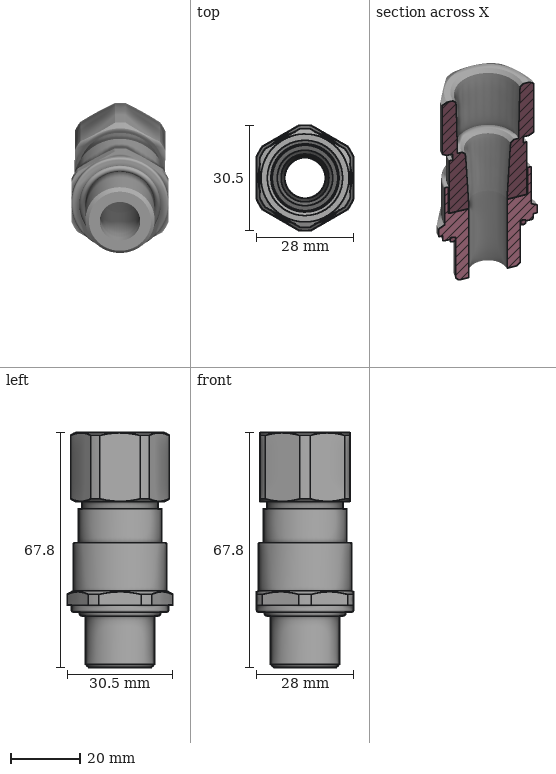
import cadquery as cq
import math

shank_bottom = 0.0
flange_bottom = 16.0
lower_hex_bottom = 18.0
barrel_bottom = 22.1
barrel_recess_floor = 26.0
barrel_top = 36.0
sleeve_top = 45.65
upper_hex_bottom = 47.7
coupling_top = 67.75

shank_radius = 9.95
shank_chamfer = 1.0
lower_hex_flats = 28.0
lower_hex_corner_radius = 15.25
flange_radius = lower_hex_flats / 2
flange_fillet = 0.6
barrel_radius = 13.5
barrel_fillet = 0.55

ring_tube_radius = 0.9
ring_center_radius = shank_radius + ring_tube_radius
ring_center_z = 15.7

sleeve_diameter = 24.05
sleeve_radius = sleeve_diameter / 2
sleeve_gap = 0.15
neck_radius = 11.0
upper_hex_flats = 26.0
upper_hex_corner_radius = 14.2
upper_hex_face_radius = 12.7
hex_chamfer_slope = math.tan(math.radians(30))

socket_mouth_radius = 10.85
socket_chamfer = 1.0
socket_top_radius = socket_mouth_radius - socket_chamfer
socket_floor_radius = 9.4
socket_floor_z = upper_hex_bottom

passage_mouth_radius = 8.0
passage_chamfer = 1.1
passage_top_radius = passage_mouth_radius - passage_chamfer
passage_bottom_radius = 5.8


def cylinder(radius, bottom, top):
    return cq.Workplane("XY").workplane(offset=bottom).circle(radius).extrude(top - bottom)


def revolved(points):
    """Turn a closed outline of (radius, height) points around the Z axis."""
    return cq.Workplane("XZ").polyline(points).close().revolve(360, (0, 0, 0), (0, 1, 0))


def hexagon(flats, bottom, top):
    """Hexagonal prism with two flats facing along X."""
    corner_diameter = flats / math.cos(math.radians(30))
    prism = cq.Workplane("XY").workplane(offset=bottom).polygon(6, corner_diameter).extrude(top - bottom)
    return prism.rotate((0, 0, 0), (0, 0, 1), 30)


def lower_hexagon():
    """Hexagon with rounded corners and a conical top face that starts at the barrel."""
    edge_z = barrel_bottom - (lower_hex_corner_radius - barrel_radius) * hex_chamfer_slope
    envelope = revolved([
        (0, lower_hex_bottom),
        (lower_hex_corner_radius, lower_hex_bottom),
        (lower_hex_corner_radius, edge_z),
        (barrel_radius, barrel_bottom),
        (0, barrel_bottom),
    ])
    return hexagon(lower_hex_flats, lower_hex_bottom, barrel_bottom).intersect(envelope)


def upper_hexagon():
    """Hexagon with rounded corners and both ends turned conical."""
    chamfer_height = (upper_hex_corner_radius - upper_hex_face_radius) * hex_chamfer_slope
    envelope = revolved([
        (0, upper_hex_bottom),
        (upper_hex_face_radius, upper_hex_bottom),
        (upper_hex_corner_radius, upper_hex_bottom + chamfer_height),
        (upper_hex_corner_radius, coupling_top - chamfer_height),
        (upper_hex_face_radius, coupling_top),
        (0, coupling_top),
    ])
    return hexagon(upper_hex_flats, upper_hex_bottom, coupling_top).intersect(envelope)


def bore():
    """Space inside both the coupling and the body: chamfered socket, then passage."""
    return revolved([
        (0, shank_bottom),
        (passage_bottom_radius, shank_bottom),
        (passage_bottom_radius, barrel_recess_floor),
        (passage_top_radius, socket_floor_z - passage_chamfer),
        (passage_mouth_radius, socket_floor_z),
        (socket_floor_radius, socket_floor_z),
        (socket_top_radius, coupling_top - socket_chamfer),
        (socket_mouth_radius, coupling_top),
        (0, coupling_top),
    ])


def make_o_ring():
    return (
        cq.Workplane("XZ")
        .center(ring_center_radius, ring_center_z)
        .circle(ring_tube_radius)
        .revolve(360, (-ring_center_radius, 0, 0), (-ring_center_radius, 1, 0))
    )


def make_body(o_ring):
    shank = cylinder(shank_radius, shank_bottom, flange_bottom).faces("<Z").chamfer(shank_chamfer)
    flange = cylinder(flange_radius, flange_bottom, lower_hex_bottom).faces("<Z").edges().fillet(flange_fillet)
    barrel = cylinder(barrel_radius, barrel_bottom, barrel_top).faces(">Z").edges().fillet(barrel_fillet)
    outside = shank.union(flange).union(lower_hexagon()).union(barrel)
    recess = cylinder(sleeve_radius + sleeve_gap, barrel_recess_floor, barrel_top)
    return outside.cut(recess).cut(bore()).cut(o_ring)


def make_coupling():
    sleeve = cylinder(sleeve_radius, barrel_recess_floor, sleeve_top)
    neck = cylinder(neck_radius, sleeve_top, upper_hex_bottom)
    return sleeve.union(neck).union(upper_hexagon()).cut(bore())


o_ring = make_o_ring()
body = make_body(o_ring)
coupling = make_coupling()

result = cq.Compound.makeCompound([body.val(), o_ring.val(), coupling.val()])